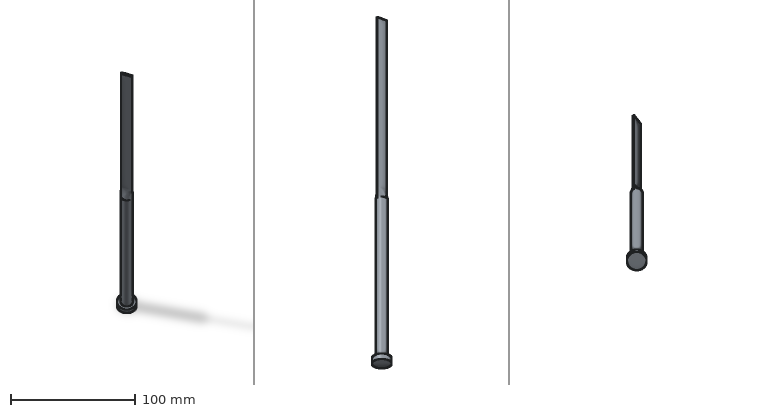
import cadquery as cq

TOTAL_LENGTH = 315.0
HEAD_DIAMETER = 16.0
HEAD_HEIGHT = 5.0
SHAFT_DIAMETER = 10.0
BLADE_WIDTH = 9.5
BLADE_THICKNESS = 1.5
BLADE_LENGTH = 155.0
TRANSITION_LENGTH = 10.0

BLADE_START = TOTAL_LENGTH - BLADE_LENGTH
SHAFT_END = BLADE_START - TRANSITION_LENGTH


def cylinder(diameter, bottom, top):
    """Solid cylinder on the pin axis between two levels."""
    return cq.Workplane("XY").workplane(offset=bottom).circle(diameter / 2).extrude(top - bottom)


def make_transition():
    """Loft from the round shaft end to the rectangular blade section."""
    return (
        cq.Workplane("XY")
        .workplane(offset=SHAFT_END)
        .circle(SHAFT_DIAMETER / 2)
        .workplane(offset=TRANSITION_LENGTH)
        .rect(BLADE_WIDTH, BLADE_THICKNESS)
        .loft(ruled=True, combine=True)
    )


def make_blade():
    """Thin flat blade, wide along X, reaching the tip of the pin."""
    return (
        cq.Workplane("XY")
        .workplane(offset=BLADE_START)
        .rect(BLADE_WIDTH, BLADE_THICKNESS)
        .extrude(BLADE_LENGTH)
    )


head = cylinder(HEAD_DIAMETER, 0, HEAD_HEIGHT)
shaft = cylinder(SHAFT_DIAMETER, HEAD_HEIGHT, SHAFT_END)

result = head.union(shaft).union(make_transition()).union(make_blade())